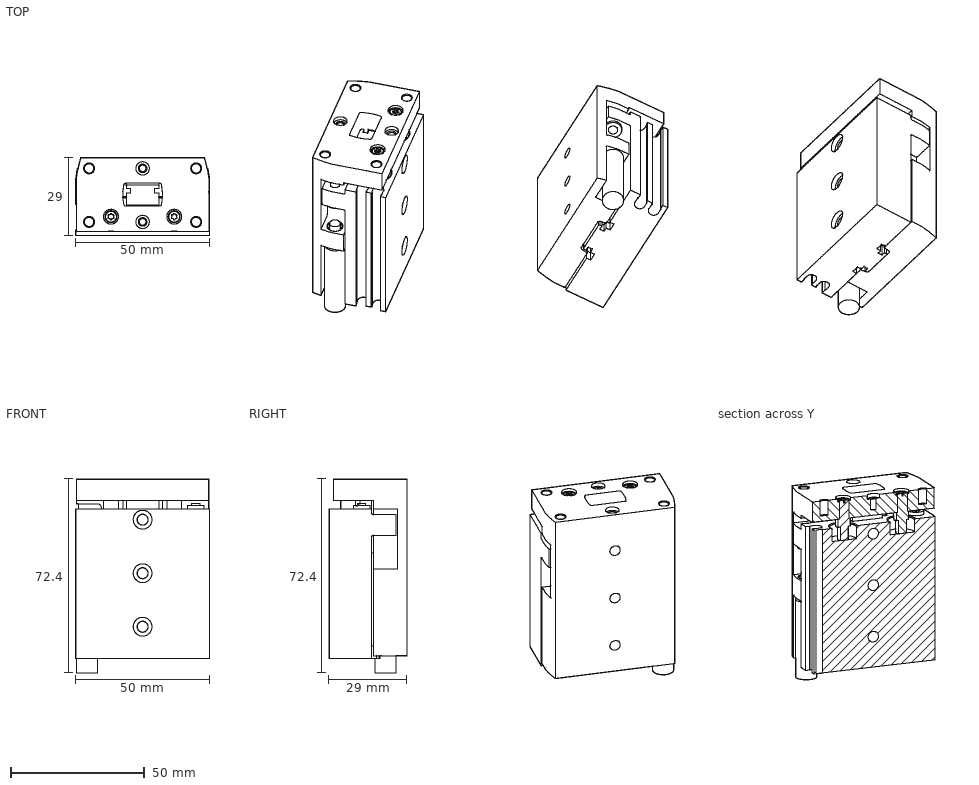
import cadquery as cq


HOUSING_WIDTH = 50.0
HOUSING_DEPTH = 15.85
HOUSING_BOTTOM = 5.4
HOUSING_TOP = 61.25
HOUSING_HALF = HOUSING_WIDTH / 2

SLOT_MOUTH_WIDTH = 3.6
SLOT_MOUTH_DEPTH = 1.75
SLOT_WIDTH = 4.0
SLOT_LENGTH = 5.7
SLOT_CENTERS_Y = (3.9, 9.85)
STRIP_RECESS = 1.0
STRIP_CHAMFER = 0.3

MOUNT_HOLE_DIAMETER = 4.0
MOUNT_BORE_DIAMETER = 7.0
MOUNT_BORE_DEPTH = 1.8
MOUNT_MIDDLE_Z = 37.3
PITCH = 20.0

ROD_X = 11.8
ROD_Y = 7.0
ROD_RECESS_DIAMETER = 10.0
ROD_RECESS_DEPTH = 5.1
ROD_RECESS_CHAMFER = 0.35

RAIL_HALF = 6.1
RAIL_FRONT = 11.45
RAIL_BACK = 18.9
RAIL_TOP = 65.15
RAIL_CHAMFER = 0.35
GROOVE_FLOOR_X = 4.5
GROOVE_FRONT = HOUSING_DEPTH
GROOVE_BACK = 17.6

STOP_X = -20.8
STOP_Y = 21.0
ARM_INNER_X = -16.35
ARM_BACK = 25.0
ARM_BOTTOM = 51.4
ARM_TOP = 59.15
ARM_ROOT_FILLET = 0.6
ARM_HOLE_DIAMETER = 3.5
BUMPER_DIAMETER = 6.6
BUMPER_HEIGHT = 1.1

SLIDE_HALF = 24.75
SLIDE_BACK_HALF = 23.1
SLIDE_BULGE_HALF = 24.1
SLIDE_FRONT = 16.4
SLIDE_BACK = 29.0
SLIDE_BOTTOM = 6.45
PLATE_FRONT = 1.5
PLATE_BOTTOM = 64.35
PLATE_TOP = 72.4
FLANK_START_Y = STOP_Y

POCKET_INNER_X = -15.4
POCKET_BACK = 25.5
POCKET_FILLET = 1.5
UPPER_POCKET_Z = (38.9, 63.2)
LOWER_POCKET_TOP = 30.9

WINDOW_FRONT = 10.9
WINDOW_BACK = 19.55
WINDOW_END_HALF = 6.9
WINDOW_MIDDLE_HALF = 7.4
WINDOW_FILLET = 0.8

JAW_OUTER_X = 8.7
JAW_FRONT = 14.4
JAW_BOTTOM = 10.05
JAW_TOP = 44.9
JAW_CLEARANCE = 0.3

TABLE_CENTER_Y = 15.05
THREAD_DIAMETER = 3.5
THREAD_CHAMFER = 0.3
THREAD_DEPTH = 5.8
PIN_BORE_DIAMETER = 5.0
PIN_BORE_DEPTH = 1.45
PIN_HOLE_DIAMETER = 2.45
PIN_HOLE_CHAMFER = 0.35
PIN_HOLE_DEPTH = 5.8

ROD_DIAMETER = 4.1
ROD_COLLAR_DIAMETER = 5.6
ROD_HEAD_DIAMETER = 4.5
ROD_HEAD_TOP = 71.7
ROD_HEAD_CHAMFER = 0.2
ROD_BORE_DIAMETER = 5.6
ROD_BORE_DEPTH = 1.1
DRIVE_CORE_DIAMETER = 1.75
DRIVE_LOBES = 6
DRIVE_LOBE_DIAMETER = 0.6
DRIVE_LOBE_RADIUS = 0.95
DRIVE_DEPTH = 1.1

ABSORBER_DIAMETER = 8.0
ABSORBER_TOP = 30.1
NECK_DIAMETER = 5.4
NECK_TOP = 36.9
PLUNGER_DIAMETER = 4.0
PLUNGER_TOP = 40.25
NECK_HOLE_CHAMFER = 0.3

SCREW_X = 19.85
SCREW_Y = 12.1
SCREW_DIAMETER = 6.1
SCREW_HEIGHT = 1.3
SCREW_TIP_DIAMETER = 3.05
SCREW_TIP_HEIGHT = 0.7

ROD_POINTS = [(-ROD_X, ROD_Y), (ROD_X, ROD_Y)]
STOP_POINT = (STOP_X, STOP_Y)
PIN_POINTS = [(0, TABLE_CENTER_Y - PITCH / 2), (0, TABLE_CENTER_Y + PITCH / 2)]


def block(x_range, y_range, z_range):
    """Box given by its limits along X, Y and Z."""
    spans = [high - low for low, high in (x_range, y_range, z_range)]
    corner = (x_range[0], y_range[0], z_range[0])
    return cq.Workplane("XY").box(*spans, centered=False).translate(corner)


def cylinder(point, diameter, z_low, z_high):
    """Upright cylinder centred on an (x, y) point."""
    return cq.Workplane("XY", origin=(*point, z_low)).circle(diameter / 2).extrude(z_high - z_low)


def chamfered_hole(point, diameter, z_low, z_high, chamfer):
    """Cutter for an upright hole whose upper rim is chamfered."""
    radius = diameter / 2
    rim_base = cq.Vector(*point, z_high - chamfer)
    rim = cq.Solid.makeCone(radius, radius + chamfer, chamfer, rim_base)
    return cylinder(point, diameter, z_low, z_high).union(cq.Workplane(rim))


def flanked_profile(front, z_low, z_high):
    """Slide cross-section with straight sides in front and curved flanks behind."""
    middle_y = (FLANK_START_Y + SLIDE_BACK) / 2
    return (
        cq.Workplane("XY", origin=(0, 0, z_low))
        .moveTo(-SLIDE_HALF, front)
        .lineTo(SLIDE_HALF, front)
        .lineTo(SLIDE_HALF, FLANK_START_Y)
        .threePointArc((SLIDE_BULGE_HALF, middle_y), (SLIDE_BACK_HALF, SLIDE_BACK))
        .lineTo(-SLIDE_BACK_HALF, SLIDE_BACK)
        .threePointArc((-SLIDE_BULGE_HALF, middle_y), (-SLIDE_HALF, FLANK_START_Y))
        .close()
        .extrude(z_high - z_low)
    )


def mount_holes(y_low, y_high, diameter):
    """Row of three mounting holes along Y on the middle plane."""
    points = [(0, MOUNT_MIDDLE_Z + step * PITCH) for step in (-1, 0, 1)]
    return (
        cq.Workplane("XZ", origin=(0, y_low, 0))
        .pushPoints(points)
        .circle(diameter / 2)
        .extrude(y_low - y_high)
    )


def make_rail():
    height = (HOUSING_BOTTOM, RAIL_TOP)
    rail = block((-RAIL_HALF, RAIL_HALF), (RAIL_FRONT, RAIL_BACK), height)
    rail = rail.edges("|Z and >Y").chamfer(RAIL_CHAMFER)
    for x_range in ((-RAIL_HALF, -GROOVE_FLOOR_X), (GROOVE_FLOOR_X, RAIL_HALF)):
        rail = rail.cut(block(x_range, (GROOVE_FRONT, GROOVE_BACK), height))
    return rail


def make_arm():
    """Stop arm that reaches back from the -X side of the housing."""
    arm = block((-HOUSING_HALF, ARM_INNER_X), (HOUSING_DEPTH, ARM_BACK), (ARM_BOTTOM, ARM_TOP))
    side_offset = HOUSING_HALF - SLIDE_HALF
    outline = flanked_profile(PLATE_FRONT, ARM_BOTTOM, ARM_TOP).translate((-side_offset, 0, 0))
    return arm.intersect(outline)


def make_housing():
    height = (HOUSING_BOTTOM, HOUSING_TOP)
    housing = block((-HOUSING_HALF, HOUSING_HALF), (0, HOUSING_DEPTH), height)

    jaw_half = JAW_OUTER_X + JAW_CLEARANCE
    housing = housing.cut(
        block((-jaw_half, jaw_half), (JAW_FRONT - JAW_CLEARANCE, HOUSING_DEPTH), height)
    )
    housing = housing.union(make_rail())

    arm = make_arm()
    housing = housing.union(arm).union(arm.mirror("YZ"))
    root_middle_x = (HOUSING_HALF - ARM_INNER_X) / 2
    for x in (-root_middle_x, root_middle_x):
        for z in (ARM_BOTTOM, ARM_TOP):
            root = cq.selectors.NearestToPointSelector((x, HOUSING_DEPTH, z))
            housing = housing.edges("|X").edges(root).fillet(ARM_ROOT_FILLET)

    bumper_bottom = ARM_BOTTOM - BUMPER_HEIGHT
    housing = housing.union(cylinder(STOP_POINT, BUMPER_DIAMETER, bumper_bottom, ARM_BOTTOM))
    housing = housing.cut(cylinder(STOP_POINT, ARM_HOLE_DIAMETER, bumper_bottom, ARM_TOP))

    strip_front = SLOT_CENTERS_Y[0] + SLOT_MOUTH_WIDTH / 2
    strip_x = -HOUSING_HALF + STRIP_RECESS
    housing = housing.cut(block((-HOUSING_HALF, strip_x), (strip_front, SLOT_CENTERS_Y[1]), height))

    mouth_end_x = -HOUSING_HALF + SLOT_MOUTH_DEPTH
    end_center_x = -HOUSING_HALF + SLOT_LENGTH - SLOT_WIDTH / 2
    for y in SLOT_CENTERS_Y:
        mouth_sides = (y - SLOT_MOUTH_WIDTH / 2, y + SLOT_MOUTH_WIDTH / 2)
        sides = (y - SLOT_WIDTH / 2, y + SLOT_WIDTH / 2)
        housing = housing.cut(block((-HOUSING_HALF, mouth_end_x), mouth_sides, height))
        housing = housing.cut(block((mouth_end_x, end_center_x), sides, height))
        housing = housing.cut(cylinder((end_center_x, y), SLOT_WIDTH, *height))
    strip_corner = (strip_x, strip_front, (HOUSING_BOTTOM + HOUSING_TOP) / 2)
    corner_edge = cq.selectors.NearestToPointSelector(strip_corner)
    housing = housing.edges("|Z").edges(corner_edge).chamfer(STRIP_CHAMFER)

    housing = housing.cut(mount_holes(0, RAIL_BACK, MOUNT_HOLE_DIAMETER))
    housing = housing.cut(mount_holes(0, MOUNT_BORE_DEPTH, MOUNT_BORE_DIAMETER))

    recess_floor = HOUSING_TOP - ROD_RECESS_DEPTH
    for point in ROD_POINTS:
        housing = housing.cut(chamfered_hole(
            point, ROD_RECESS_DIAMETER, recess_floor, HOUSING_TOP, ROD_RECESS_CHAMFER))
    return housing


def rail_window():
    """Cutter for the passage of the rail: bulged sides and rounded corners."""
    middle_y = (WINDOW_FRONT + WINDOW_BACK) / 2
    return (
        cq.Workplane("XY", origin=(0, 0, SLIDE_BOTTOM))
        .moveTo(-WINDOW_END_HALF, WINDOW_FRONT)
        .lineTo(WINDOW_END_HALF, WINDOW_FRONT)
        .threePointArc((WINDOW_MIDDLE_HALF, middle_y), (WINDOW_END_HALF, WINDOW_BACK))
        .lineTo(-WINDOW_END_HALF, WINDOW_BACK)
        .threePointArc((-WINDOW_MIDDLE_HALF, middle_y), (-WINDOW_END_HALF, WINDOW_FRONT))
        .close()
        .extrude(PLATE_TOP - SLIDE_BOTTOM)
        .edges("|Z")
        .fillet(WINDOW_FILLET)
    )


def make_jaws():
    """Two jaws beside the rail, each with a tongue that fills a rail groove."""
    height = (JAW_BOTTOM, JAW_TOP)
    jaw = block((RAIL_HALF, JAW_OUTER_X), (JAW_FRONT, WINDOW_BACK), height)
    tongue = block((GROOVE_FLOOR_X, RAIL_HALF), (GROOVE_FRONT, GROOVE_BACK), height)
    jaw = jaw.union(tongue)
    return jaw.union(jaw.mirror("YZ"))


def side_pocket(z_low, z_high):
    """Cutter for a pocket in the -X flank, rounded along its inner wall."""
    pocket = block((-HOUSING_HALF, POCKET_INNER_X), (SLIDE_FRONT, POCKET_BACK), (z_low, z_high))
    return pocket.edges("|Y and >X").fillet(POCKET_FILLET)


def make_slide():
    slide = flanked_profile(SLIDE_FRONT, SLIDE_BOTTOM, PLATE_TOP)
    slide = slide.union(flanked_profile(PLATE_FRONT, PLATE_BOTTOM, PLATE_TOP))
    slide = slide.cut(rail_window()).union(make_jaws())

    arm_pocket = side_pocket(*UPPER_POCKET_Z)
    opposite_arm_pocket = side_pocket(UPPER_POCKET_Z[0], HOUSING_TOP).mirror("YZ")
    absorber_pocket = side_pocket(SLIDE_BOTTOM - POCKET_FILLET, LOWER_POCKET_TOP)
    slide = slide.cut(arm_pocket).cut(opposite_arm_pocket).cut(absorber_pocket)

    slide = slide.cut(chamfered_hole(
        STOP_POINT, NECK_DIAMETER, LOWER_POCKET_TOP, UPPER_POCKET_Z[0], NECK_HOLE_CHAMFER))

    slide = slide.cut(mount_holes(SLIDE_FRONT, SLIDE_BACK, MOUNT_HOLE_DIAMETER))

    for point in ROD_POINTS:
        slide = slide.cut(cylinder(point, ROD_HEAD_DIAMETER, PLATE_BOTTOM, PLATE_TOP))
        slide = slide.cut(cylinder(point, ROD_BORE_DIAMETER, PLATE_TOP - ROD_BORE_DEPTH, PLATE_TOP))

    for x in (-PITCH, PITCH):
        for _, y in PIN_POINTS:
            slide = slide.cut(chamfered_hole(
                (x, y), THREAD_DIAMETER, PLATE_TOP - THREAD_DEPTH, PLATE_TOP, THREAD_CHAMFER))

    bore_floor = PLATE_TOP - PIN_BORE_DEPTH
    for point in PIN_POINTS:
        slide = slide.cut(cylinder(point, PIN_BORE_DIAMETER, bore_floor, PLATE_TOP))
        slide = slide.cut(chamfered_hole(
            point, PIN_HOLE_DIAMETER, PLATE_TOP - PIN_HOLE_DEPTH, bore_floor, PIN_HOLE_CHAMFER))
    return slide


def make_drive_rod(point):
    """Rod with a collar below the table and a six-lobed socket in its upper end."""
    rod = cylinder(point, ROD_DIAMETER, HOUSING_TOP - ROD_RECESS_DEPTH, HOUSING_TOP)
    rod = rod.union(cylinder(point, ROD_COLLAR_DIAMETER, HOUSING_TOP, PLATE_BOTTOM))
    head = cylinder(point, ROD_HEAD_DIAMETER, PLATE_BOTTOM, ROD_HEAD_TOP)
    rod = rod.union(head.faces(">Z").chamfer(ROD_HEAD_CHAMFER))
    socket_floor = ROD_HEAD_TOP - DRIVE_DEPTH
    lobes = (
        cq.Workplane("XY", origin=(*point, socket_floor))
        .polarArray(DRIVE_LOBE_RADIUS, 90, 360, DRIVE_LOBES)
        .circle(DRIVE_LOBE_DIAMETER / 2)
        .extrude(DRIVE_DEPTH)
    )
    core = cylinder(point, DRIVE_CORE_DIAMETER, socket_floor, ROD_HEAD_TOP)
    return rod.cut(core.union(lobes))


def make_absorber():
    absorber = cylinder(STOP_POINT, ABSORBER_DIAMETER, 0, ABSORBER_TOP)
    absorber = absorber.union(cylinder(STOP_POINT, NECK_DIAMETER, ABSORBER_TOP, NECK_TOP))
    return absorber.union(cylinder(STOP_POINT, PLUNGER_DIAMETER, NECK_TOP, PLUNGER_TOP))


def make_stop_screw():
    point = (SCREW_X, SCREW_Y)
    head_top = HOUSING_TOP + SCREW_HEIGHT
    screw = cylinder(point, SCREW_DIAMETER, HOUSING_TOP, head_top)
    return screw.union(cylinder(point, SCREW_TIP_DIAMETER, head_top, head_top + SCREW_TIP_HEIGHT))


housing = make_housing()
slide = make_slide()
drive_rods = [make_drive_rod(point) for point in ROD_POINTS]
absorber = make_absorber()
stop_screw = make_stop_screw()

result = cq.Compound.makeCompound([
    housing.val(),
    slide.val(),
    *[rod.val() for rod in drive_rods],
    absorber.val(),
    stop_screw.val(),
])